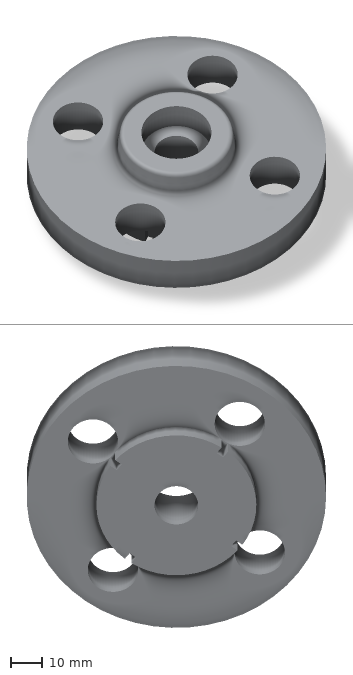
import cadquery as cq
import math

flange_diameter = 95.2
flange_thickness = 12.95

face_diameter = 50.8
face_height = 5.5

notch_width = 2.6
notch_depth = notch_width
notch_count = 4

hub_height = 7.7
hub_base_radius = 19.0
hub_taper = 9.0
hub_fillet = 1.4

bore_diameter = 13.9
socket_diameter = 22.3
socket_depth = 9.5

bolt_hole_diameter = 16.0
bolt_circle_diameter = 66.7
bolt_count = 4

flange_bottom = face_height
flange_top = flange_bottom + flange_thickness
hub_top = flange_top + hub_height

hub_top_radius = hub_base_radius - hub_height * math.tan(math.radians(hub_taper))


def cylinder(diameter, bottom, top):
    """Upright cylinder on the Z axis between two heights."""
    return cq.Workplane("XY").workplane(offset=bottom).circle(diameter / 2).extrude(top - bottom)


def make_body():
    """Raised face, disc and filleted tapered hub, solid throughout."""
    profile = [
        (0, 0),
        (face_diameter / 2, 0),
        (face_diameter / 2, flange_bottom),
        (flange_diameter / 2, flange_bottom),
        (flange_diameter / 2, flange_top),
        (hub_base_radius, flange_top),
        (hub_top_radius, hub_top),
        (0, hub_top),
    ]
    body = cq.Workplane("XZ").polyline(profile).close().revolve(360, (0, 0, 0), (0, 1, 0))
    hub_edges = body.faces("%CONE").edges("%CIRCLE")
    return hub_edges.fillet(hub_fillet)


def bolt_holes():
    """Through holes spaced evenly on the bolt circle, starting on +X."""
    return (
        cq.Workplane("XY")
        .workplane(offset=flange_bottom)
        .polarArray(bolt_circle_diameter / 2, 0, 360, bolt_count)
        .circle(bolt_hole_diameter / 2)
        .extrude(flange_thickness)
    )


def rim_notches():
    """Flat-floored notches centred on the rim of the raised face, one per axis direction."""
    return (
        cq.Workplane("XY")
        .polarArray(face_diameter / 2, 0, 360, notch_count)
        .rect(2 * notch_depth, notch_width)
        .extrude(face_height)
    )


bore = cylinder(bore_diameter, 0, hub_top)
socket = cylinder(socket_diameter, hub_top - socket_depth, hub_top)

result = make_body().cut(bore).cut(socket).cut(bolt_holes()).cut(rim_notches())